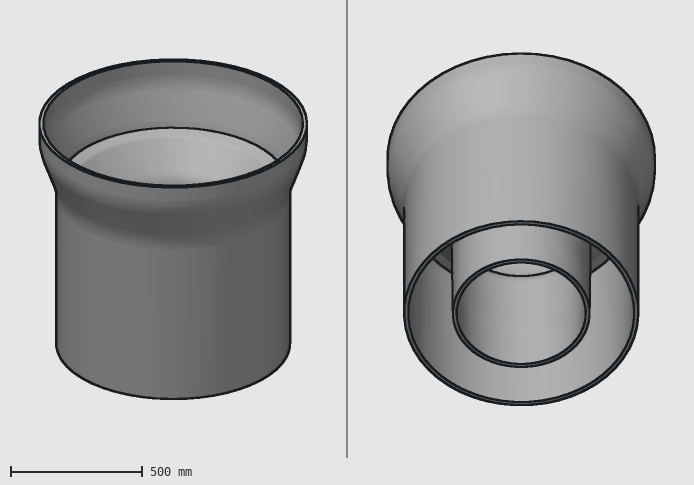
import cadquery as cq
import math

height = 950.0
socket_radius = 1017 / 2
pipe_radius = 890.0 / 2
pipe_bore_radius = 858.0 / 2
housing_wall = pipe_radius - pipe_bore_radius
shoulder_z = 890.0
pipe_top_z = 647.0
upper_bend_drop = 60.0
flare_angle = math.radians(19.7)

throat_radius = 500.0 / 2
throat_outer_radius = 530.0 / 2
funnel_wall = throat_outer_radius - throat_radius
throat_top_z = 508
outlet_radius = 245.0
throat_bend = 111.0
crest_bend = 24.0
rim_inner_radius = 387.0
rim_angle = math.radians(16)
cone_angle = math.radians(45)
tube_angle = math.atan2(throat_top_z, throat_radius - outlet_radius)

upper_bend = upper_bend_drop / math.sin(flare_angle)
flare_rise = shoulder_z - pipe_top_z
flare_spread = socket_radius - pipe_radius
bend_sum = (flare_rise * math.tan(flare_angle) - flare_spread) / (1 / math.cos(flare_angle) - 1)
lower_bend = bend_sum - upper_bend
upper_center = (socket_radius - upper_bend, shoulder_z)
lower_center = (pipe_radius + lower_bend, pipe_top_z)


def polar(center, radius, angle):
    """Point at an angle from the outward radial direction."""
    return (center[0] + radius * math.cos(angle), center[1] + radius * math.sin(angle))


def add_flare(profile, inset, upward):
    """Continue a profile along the flare, inset from its outer surface."""
    small = upper_bend - inset
    large = lower_bend + inset
    upper = [polar(upper_center, small, -flare_angle * part) for part in (0, 0.5, 1)]
    lower = [polar(lower_center, large, math.pi - flare_angle * part) for part in (1, 0.5, 0)]
    if upward:
        upper, lower = lower[::-1], upper[::-1]
    return (
        profile.lineTo(*upper[0])
        .threePointArc(*upper[1:])
        .lineTo(*lower[0])
        .threePointArc(*lower[1:])
    )


def make_housing():
    profile = cq.Workplane("XZ").moveTo(pipe_bore_radius, 0).lineTo(pipe_radius, 0)
    profile = add_flare(profile, 0, upward=True)
    profile = profile.lineTo(socket_radius, height).lineTo(socket_radius - housing_wall, height)
    profile = add_flare(profile, housing_wall, upward=False)
    return profile.close().revolve(360, (0, 0, 0), (0, 1, 0))


def on_bend(center, radius, slope):
    """Point of a funnel bend where the sheet falls inward at the given slope."""
    return polar(center, radius, slope + math.pi / 2)


def rim_corner(start):
    """Where the underside of the rim, rising outward from start, meets the housing."""
    direction = (math.cos(rim_angle), math.sin(rim_angle))
    offset = (start[0] - lower_center[0], start[1] - lower_center[1])
    along = offset[0] * direction[0] + offset[1] * direction[1]
    excess = offset[0] ** 2 + offset[1] ** 2 - (lower_bend + housing_wall) ** 2
    reach = -along - math.sqrt(along ** 2 - excess)
    return polar(start, reach, rim_angle)


def make_funnel():
    throat_center = polar((throat_radius, throat_top_z), throat_bend, tube_angle - math.pi / 2)
    cone_bottom = on_bend(throat_center, throat_bend, cone_angle)
    crest_x = rim_inner_radius + crest_bend * math.sin(rim_angle)
    cone_top_x = crest_x - crest_bend * math.sin(cone_angle)
    cone_top_z = cone_bottom[1] + (cone_top_x - cone_bottom[0]) * math.tan(cone_angle)
    crest_center = (crest_x, cone_top_z - crest_bend * math.cos(cone_angle))

    crest_slopes = (rim_angle, (rim_angle + cone_angle) / 2, cone_angle)
    throat_slopes = (cone_angle, (cone_angle + tube_angle) / 2, tube_angle)
    crest_top = [on_bend(crest_center, crest_bend, slope) for slope in crest_slopes]
    throat_top = [on_bend(throat_center, throat_bend, slope) for slope in throat_slopes]
    crest_under = [on_bend(crest_center, crest_bend - funnel_wall, slope) for slope in crest_slopes]
    throat_under = [on_bend(throat_center, throat_bend - funnel_wall, slope) for slope in throat_slopes]
    lower_corner = rim_corner(crest_under[0])
    upper_corner = on_bend(lower_corner, funnel_wall, rim_angle)

    return (
        cq.Workplane("XZ")
        .moveTo(*upper_corner)
        .lineTo(*crest_top[0])
        .threePointArc(*crest_top[1:])
        .lineTo(*throat_top[0])
        .threePointArc(*throat_top[1:])
        .lineTo(outlet_radius, 0)
        .lineTo(outlet_radius + funnel_wall / math.sin(tube_angle), 0)
        .lineTo(*throat_under[2])
        .threePointArc(*throat_under[1::-1])
        .lineTo(*crest_under[2])
        .threePointArc(*crest_under[1::-1])
        .lineTo(*lower_corner)
        .close()
        .revolve(360, (0, 0, 0), (0, 1, 0))
    )


housing = make_housing()
funnel = make_funnel()
result = cq.Compound.makeCompound([housing.val(), funnel.val()])